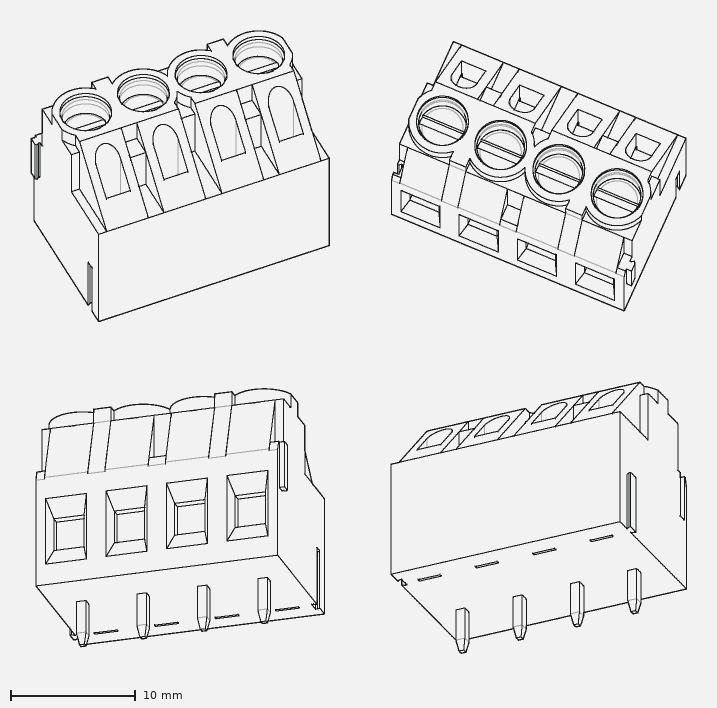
import cadquery as cq

POLE_PITCH = 5.08
POLES_PER_MODULE = 2
MODULES = 2
MODULE_WIDTH = POLE_PITCH * POLES_PER_MODULE
POLE_COUNT = POLES_PER_MODULE * MODULES
ROW_LENGTH = POLE_PITCH * POLE_COUNT

DEPTH = 12.4
HEIGHT = 15.5
SHOULDER_Z = 10.05
COLLAR_HEIGHT = 1.2
COLLAR_BASE_Z = HEIGHT - COLLAR_HEIGHT
FRONT_SLOPE_FOOT_Z = 9.22
POLE_FACE_FOOT_Z = 9.37
FRONT_TOP_X = 1.59
BACK_TOP_X = 7.17
NOTCH_WIDTH = 0.72

RIB_WIDTH = 1.44
BACK_CHANNEL_WIDTH = 1.37
BACK_STEP_X = 8.9

SCREW_X = 4.4
COLLAR_RADIUS = 2.7
RIM_RADIUS = 2.07
RIM_DEPTH = 0.35
LIP_ROUND = 0.17
LIP_RADIUS = RIM_RADIUS - LIP_ROUND
FLARE_END_DEPTH = 1.05
WELL_RADIUS = 1.95
SCREW_DEPTH = 1.97
SCREW_FLAT_RADIUS = 1.65
SCREW_EDGE_ROUND = WELL_RADIUS - SCREW_FLAT_RADIUS
DRIVER_SLOT_WIDTH = 0.78
DRIVER_SLOT_DEPTH = 0.63

ENTRY_WIDTH = 3.43
ENTRY_BOTTOM_Z = 1.8
ENTRY_TOP_Z = 7.5
THROAT_WIDTH = 2.54
THROAT_BOTTOM_Z = 3.24
THROAT_TOP_Z = 6.0
FUNNEL_DEPTH = 0.76
THROAT_DEPTH = 0.72

TEST_POCKET_WIDTH = 2.12
TEST_POCKET_START_X = 7.7
TEST_POCKET_END_X = 10.64
TEST_POCKET_FLOOR_Z = 8.45
SLIT_LENGTH = 0.25
SLIT_WIDTH = 1.95

PIN_SIZE = 0.8
PIN_LENGTH = 3.7
PIN_TIP_LENGTH = 0.95
PIN_TIP_SIZE = 0.42

HOOK_X = 0.45
HOOK_NECK = 0.72
HOOK_WIDTH = 0.87
HOOK_REACH = 0.45
HOOK_STEP = 0.15
HOOK_POINT_REACH = 0.32
HOOK_BOTTOM_Z = 6.1

DOVETAIL_X = 10.75
DOVETAIL_NECK = 0.68
DOVETAIL_WIDTH = 1.02
DOVETAIL_REACH = 0.4
DOVETAIL_LIP = 0.15
DOVETAIL_TOP_Z = 4.97

END_Y = ROW_LENGTH / 2
MODULE_CENTERS = [(i - (MODULES - 1) / 2) * MODULE_WIDTH for i in range(MODULES)]
POLE_CENTERS = [(i - (POLE_COUNT - 1) / 2) * POLE_PITCH for i in range(POLE_COUNT)]


def block(x0, x1, y0, y1, z0, z1):
    """Axis-aligned box between two corners."""
    return cq.Workplane("XY").box(x1 - x0, y1 - y0, z1 - z0, centered=False).translate((x0, y0, z0))


def side_profile(points, center_y, width):
    """Extrude an X-Z outline along Y, centred on center_y."""
    plane = cq.Workplane("XZ", origin=(0, center_y + width / 2, 0))
    return plane.polyline(points).close().extrude(width)


def housing_core(center_y):
    """Module body up to the foot of the collars, with its four corner notches."""
    outline = [
        (0, 0),
        (DEPTH, 0),
        (DEPTH, SHOULDER_Z),
        (BACK_TOP_X, HEIGHT),
        (BACK_TOP_X, COLLAR_BASE_Z),
        (FRONT_TOP_X, COLLAR_BASE_Z),
        (0, FRONT_SLOPE_FOOT_Z),
    ]
    core = side_profile(outline, center_y, MODULE_WIDTH)
    face = [(0, FRONT_SLOPE_FOOT_Z), (FRONT_TOP_X, COLLAR_BASE_Z), (0, POLE_FACE_FOOT_Z)]
    face_width = (MODULE_WIDTH - RIB_WIDTH) / 2 - NOTCH_WIDTH
    for side in (-1, 1):
        core = core.union(side_profile(face, center_y + side * (RIB_WIDTH + face_width) / 2, face_width))
    for side in (-1, 1):
        edge = center_y + side * MODULE_WIDTH / 2
        y0, y1 = sorted((edge, edge - side * NOTCH_WIDTH))
        core = core.cut(block(0, FRONT_TOP_X, y0, y1, SHOULDER_Z, HEIGHT))
        core = core.cut(block(BACK_TOP_X, DEPTH, y0, y1, SHOULDER_Z, HEIGHT))
    return core


def collar_layer(center_y):
    """Raised layer: a round collar per pole, the rib front and the web behind the screws."""
    half_web = MODULE_WIDTH / 2 - NOTCH_WIDTH
    half_rib = RIB_WIDTH / 2
    layer = block(SCREW_X, BACK_TOP_X, center_y - half_web, center_y + half_web, COLLAR_BASE_Z, HEIGHT)
    layer = layer.union(
        block(FRONT_TOP_X, SCREW_X, center_y - half_rib, center_y + half_rib, COLLAR_BASE_Z, HEIGHT)
    )
    for side in (-1, 1):
        collar = cq.Workplane("XY", origin=(SCREW_X, center_y + side * POLE_PITCH / 2, COLLAR_BASE_Z))
        layer = layer.union(collar.circle(COLLAR_RADIUS).extrude(COLLAR_HEIGHT))
    half_module = MODULE_WIDTH / 2
    limits = block(0, BACK_TOP_X, center_y - half_module, center_y + half_module, COLLAR_BASE_Z, HEIGHT)
    return layer.intersect(limits)


def back_channel(center_y):
    """Channel in the back slope between two poles, with one step whose edge meets the slope."""
    rise_per_depth = (HEIGHT - SHOULDER_Z) / (DEPTH - BACK_TOP_X)
    step_z = HEIGHT - rise_per_depth * (BACK_STEP_X - BACK_TOP_X)
    y0 = center_y - BACK_CHANNEL_WIDTH / 2
    y1 = center_y + BACK_CHANNEL_WIDTH / 2
    upper = block(BACK_TOP_X, BACK_STEP_X, y0, y1, step_z, HEIGHT)
    lower = block(BACK_STEP_X, DEPTH, y0, y1, SHOULDER_Z, HEIGHT)
    return upper.union(lower)


def screw_well(center_y):
    """Bore with a rounded lip that flares below, down to a slotted screw head with a rounded edge."""
    screw_z = HEIGHT - SCREW_DEPTH
    rim_z = HEIGHT - RIM_DEPTH
    diagonal = 0.5**0.5
    well = (
        cq.Workplane("XZ")
        .moveTo(0, HEIGHT)
        .lineTo(RIM_RADIUS, HEIGHT)
        .lineTo(RIM_RADIUS, rim_z)
        .threePointArc(
            (RIM_RADIUS - LIP_ROUND * diagonal, rim_z - LIP_ROUND * (1 - diagonal)),
            (LIP_RADIUS, rim_z - LIP_ROUND),
        )
        .lineTo(WELL_RADIUS, HEIGHT - FLARE_END_DEPTH)
        .lineTo(WELL_RADIUS, screw_z - SCREW_EDGE_ROUND)
        .threePointArc(
            (
                SCREW_FLAT_RADIUS + SCREW_EDGE_ROUND * diagonal,
                screw_z - SCREW_EDGE_ROUND * (1 - diagonal),
            ),
            (SCREW_FLAT_RADIUS, screw_z),
        )
        .lineTo(0, screw_z)
        .close()
        .revolve(360, (0, 0, 0), (0, 1, 0))
    )
    slot = (
        cq.Workplane("XY", origin=(0, 0, screw_z))
        .circle(WELL_RADIUS)
        .extrude(-DRIVER_SLOT_DEPTH)
        .intersect(cq.Workplane("XY").box(DRIVER_SLOT_WIDTH, 2 * WELL_RADIUS, 2 * HEIGHT))
    )
    return well.union(slot).translate((SCREW_X, center_y, 0))


def wire_entry(center_y):
    """Funnel in the front face that leads into a straight blind pocket."""
    entry_height = ENTRY_TOP_Z - ENTRY_BOTTOM_Z
    entry_mid_z = (ENTRY_TOP_Z + ENTRY_BOTTOM_Z) / 2
    throat_height = THROAT_TOP_Z - THROAT_BOTTOM_Z
    throat_mid_z = (THROAT_TOP_Z + THROAT_BOTTOM_Z) / 2
    funnel = (
        cq.Workplane("YZ", origin=(0, center_y, entry_mid_z))
        .rect(ENTRY_WIDTH, entry_height)
        .workplane(offset=FUNNEL_DEPTH)
        .center(0, throat_mid_z - entry_mid_z)
        .rect(THROAT_WIDTH, throat_height)
        .loft(ruled=True)
    )
    throat = (
        cq.Workplane("YZ", origin=(FUNNEL_DEPTH, center_y, throat_mid_z))
        .rect(THROAT_WIDTH, throat_height)
        .extrude(THROAT_DEPTH)
    )
    return funnel.union(throat)


def test_pocket(center_y):
    """Pocket with a round front end, and a slit along its back wall."""
    radius = TEST_POCKET_WIDTH / 2
    arc_x = TEST_POCKET_START_X + radius
    pocket = (
        cq.Workplane("XY", origin=(0, center_y, TEST_POCKET_FLOOR_Z))
        .moveTo(TEST_POCKET_END_X, -radius)
        .lineTo(TEST_POCKET_END_X, radius)
        .lineTo(arc_x, radius)
        .threePointArc((TEST_POCKET_START_X, 0), (arc_x, -radius))
        .close()
        .extrude(HEIGHT - TEST_POCKET_FLOOR_Z)
    )
    slit = block(
        TEST_POCKET_END_X - SLIT_LENGTH,
        TEST_POCKET_END_X,
        center_y - SLIT_WIDTH / 2,
        center_y + SLIT_WIDTH / 2,
        0,
        TEST_POCKET_FLOOR_Z,
    )
    return pocket.union(slit)


def solder_pin(center_y):
    """Square pin below the housing with a tapered tip."""
    shank_length = PIN_LENGTH - PIN_TIP_LENGTH
    shank = cq.Workplane("XY", origin=(SCREW_X, center_y, 0)).rect(PIN_SIZE, PIN_SIZE).extrude(-shank_length)
    tip = (
        cq.Workplane("XY", origin=(SCREW_X, center_y, -shank_length))
        .rect(PIN_SIZE, PIN_SIZE)
        .workplane(offset=-PIN_TIP_LENGTH)
        .rect(PIN_TIP_SIZE, PIN_TIP_SIZE)
        .loft(ruled=True)
    )
    return shank.union(tip)


def hook(base_y, tip_width):
    """One-sided coupling hook that reaches from base_y toward -Y and ends tip_width wide."""
    outline = [
        (HOOK_X, base_y),
        (HOOK_X + HOOK_NECK, base_y),
        (HOOK_X + HOOK_NECK, base_y - HOOK_STEP),
        (HOOK_X + HOOK_WIDTH, base_y - HOOK_POINT_REACH),
        (HOOK_X + tip_width, base_y - HOOK_REACH),
        (HOOK_X, base_y - HOOK_REACH),
    ]
    plane = cq.Workplane("XY", origin=(0, 0, HOOK_BOTTOM_Z))
    return plane.polyline(outline).close().extrude(SHOULDER_Z - HOOK_BOTTOM_Z)


def dovetail(base_y):
    """Coupling dovetail that reaches from base_y toward +Y."""
    half_neck = DOVETAIL_NECK / 2
    half_width = DOVETAIL_WIDTH / 2
    lip_y = base_y + DOVETAIL_REACH - DOVETAIL_LIP
    tip_y = base_y + DOVETAIL_REACH
    outline = [
        (DOVETAIL_X - half_neck, base_y),
        (DOVETAIL_X + half_neck, base_y),
        (DOVETAIL_X + half_width, lip_y),
        (DOVETAIL_X + half_width, tip_y),
        (DOVETAIL_X - half_width, tip_y),
        (DOVETAIL_X - half_width, lip_y),
    ]
    return cq.Workplane("XY").polyline(outline).close().extrude(DOVETAIL_TOP_Z)


result = housing_core(MODULE_CENTERS[0]).union(collar_layer(MODULE_CENTERS[0]))
for module_y in MODULE_CENTERS[1:]:
    result = result.union(housing_core(module_y)).union(collar_layer(module_y))
for module_y in MODULE_CENTERS:
    result = result.cut(back_channel(module_y))

for pole_y in POLE_CENTERS:
    result = result.cut(screw_well(pole_y)).cut(wire_entry(pole_y)).cut(test_pocket(pole_y))
    result = result.union(solder_pin(pole_y))

result = result.cut(hook(END_Y, HOOK_WIDTH)).union(hook(-END_Y, HOOK_NECK))
result = result.cut(dovetail(-END_Y)).union(dovetail(END_Y))